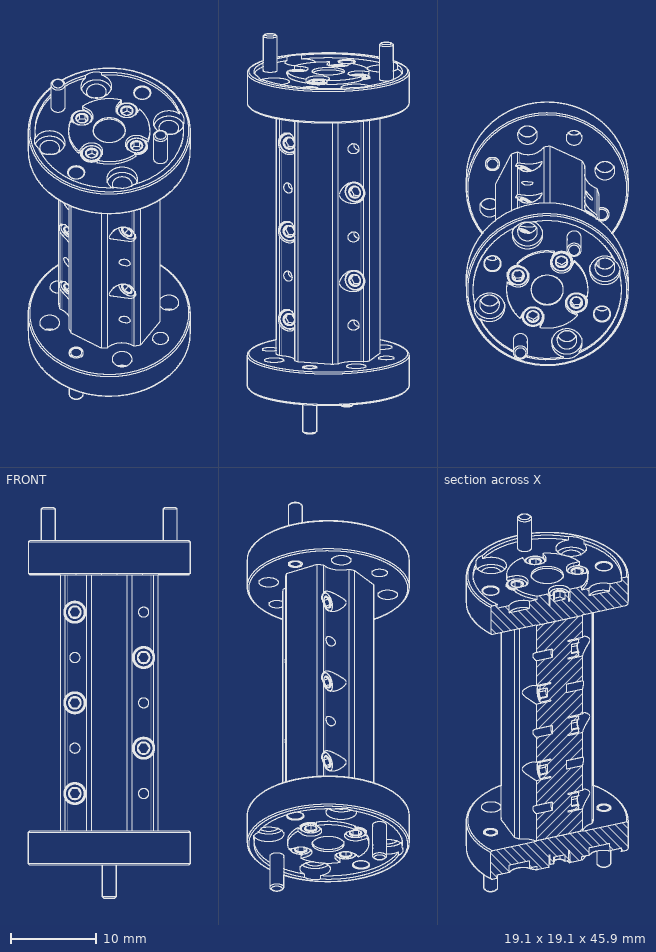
import cadquery as cq
import math

overall_length = 45.85
face_distance = 38.1
flange_diameter = 19.05
flange_thickness = 4.05
flange_chamfer = 0.2

recess_radius = 8.7
boss_radius = 4.75
recess_depth = 0.45

bolt_circle_radius = 7.15
bolt_hole_radius = 1.15
bolt_seat_radius = 1.8
bolt_seat_depth = 1.45

pin_radius = 0.83
pin_chamfer = 0.2
pin_clearance_radius = 0.9
pin_clearance_chamfer = 0.1

port_radius = 1.9
port_depth = 0.28

head_radius = 1.2
head_chamfer = 0.1
head_height = 1.38
head_seat_radius = 1.3
socket_flats = 1.2
socket_mouth_radius = 0.75
socket_mouth_depth = 0.1
socket_depth = 0.9
flange_screw_radius = 3.8
flange_head_depth = 0.3

block_half_width = 5.75
block_half_depth = 5.0
flat_half_width = 2.1
bevel_end = 2.65
side_bevel_width = 5.2
front_bevel_depth = 4.6
groove_center = 4.9
side_screw_x = 4.05
side_screw_pitch = 5.3
side_head_y = 2.48
tapped_hole_radius = 0.6
tapped_hole_end_y = 0.9

flange_radius = flange_diameter / 2
pin_projection = (overall_length - face_distance) / 2
pin_length = pin_projection + flange_thickness
block_length = face_distance - 2 * flange_thickness
flange_inner_z = block_length / 2
groove_radius = groove_center - bevel_end
groove_start_x = groove_center - math.sqrt(groove_radius**2 - (groove_center - front_bevel_depth)**2)
groove_mid = groove_center - groove_radius * math.sqrt(0.5)
quarter_turns = [0, 90, 180, 270]
hexagon_turn = 30


def cylinder(radius, bottom, top):
    """Cylinder on the Z axis between two heights."""
    return cq.Workplane("XY").workplane(offset=bottom).circle(radius).extrude(top - bottom)


def countersink(mouth_radius, depth, top):
    """45 degree cone frustum on the Z axis, widest at the top."""
    return (
        cq.Workplane("XY").workplane(offset=top).circle(mouth_radius)
        .workplane(offset=-depth).circle(mouth_radius - depth).loft()
    )


def around(body, radius, angles):
    """Copies of a body moved out from the Z axis and turned around it."""
    moved = body.translate((radius, 0, 0))
    copies = cq.Workplane("XY")
    for angle in angles:
        copies = copies.add(moved.rotate((0, 0, 0), (0, 0, 1), angle))
    return copies.combine()


def screw_head():
    """Cap-screw head with its top at Z = 0 and a hexagon socket."""
    head = cylinder(head_radius, -head_height, 0).faces(">Z").chamfer(head_chamfer)
    socket = cq.Workplane("XY").polygon(6, socket_flats, circumscribed=True).extrude(-socket_depth)
    mouth = countersink(socket_mouth_radius, socket_mouth_depth, 0)
    return head.cut(socket).cut(mouth)


def make_flange():
    flange = cylinder(flange_radius, 0, flange_thickness).edges().chamfer(flange_chamfer)

    floor_z = flange_thickness - recess_depth
    recess = cylinder(recess_radius, floor_z, flange_thickness)
    flange = flange.cut(recess.cut(cylinder(boss_radius, floor_z, flange_thickness)))

    bolt_hole = cylinder(bolt_hole_radius, 0, flange_thickness)
    bolt_seat = cylinder(bolt_seat_radius, flange_thickness - bolt_seat_depth, flange_thickness)
    bolt_angles = [45 + turn for turn in quarter_turns]
    flange = flange.cut(around(bolt_hole.union(bolt_seat), bolt_circle_radius, bolt_angles))

    pin_hole = cylinder(pin_radius, 0, flange_thickness)
    flange = flange.cut(around(pin_hole, bolt_circle_radius, [0, 180]))

    clearance_hole = cylinder(pin_clearance_radius, 0, floor_z)
    mouth = countersink(pin_clearance_radius + pin_clearance_chamfer, pin_clearance_chamfer, floor_z)
    flange = flange.cut(around(clearance_hole.union(mouth), bolt_circle_radius, [90, 270]))

    flange = flange.cut(cylinder(port_radius, 0, flange_thickness))

    head_top_z = flange_thickness - flange_head_depth
    seat = cylinder(head_seat_radius, head_top_z - head_height, flange_thickness)
    seat_opening = (
        cq.Workplane("XY").workplane(offset=floor_z)
        .center(head_seat_radius / 2, 0).rect(head_seat_radius, 2 * head_seat_radius)
        .extrude(recess_depth)
    )
    flange = flange.cut(around(seat.union(seat_opening), flange_screw_radius, quarter_turns))
    head = screw_head().translate((0, 0, head_top_z))
    return flange.union(around(head, flange_screw_radius, quarter_turns))


def make_pin():
    return cylinder(pin_radius, 0, pin_length).edges().chamfer(pin_chamfer)


def make_port_plug():
    return cylinder(port_radius, 0, flange_thickness - port_depth)


def block_quarter():
    """The +X +Y quarter of the block: two flats, two bevels and a round groove."""
    return (
        cq.Workplane("XY").workplane(offset=-block_length / 2)
        .lineTo(block_half_width, 0)
        .lineTo(block_half_width, flat_half_width)
        .lineTo(side_bevel_width, bevel_end)
        .lineTo(groove_center, bevel_end)
        .threePointArc((groove_mid, groove_mid), (groove_start_x, front_bevel_depth))
        .lineTo(flat_half_width, block_half_depth)
        .lineTo(0, block_half_depth)
        .close()
        .extrude(block_length)
    )


def make_block():
    half = block_quarter().union(block_quarter().mirror("YZ"))
    block = half.union(half.mirror("XZ")).clean()

    seat = cylinder(head_seat_radius, -head_height, block_half_depth)
    tapped_hole = cylinder(tapped_hole_radius, tapped_hole_end_y, block_half_depth)
    head = screw_head().rotate((0, 0, 0), (0, 0, 1), hexagon_turn)
    for column in (-1, 1):
        for row in range(-2, 3):
            from_front = (row % 2 == 0) == (column < 0)
            turn = 90 if from_front else -90
            head_side = -1 if from_front else 1
            place = (column * side_screw_x, head_side * side_head_y, row * side_screw_pitch)
            hole_place = (column * side_screw_x, 0, row * side_screw_pitch)
            block = block.cut(seat.rotate((0, 0, 0), (1, 0, 0), turn).translate(place))
            block = block.cut(tapped_hole.rotate((0, 0, 0), (1, 0, 0), -turn).translate(hole_place))
            block = block.union(head.rotate((0, 0, 0), (1, 0, 0), turn).translate(place))
    return block


def to_top(body):
    return body.translate((0, 0, flange_inner_z))


def to_bottom(body):
    """Turned upside down, with the pins brought onto the Y axis."""
    return to_top(body).rotate((0, 0, 0), (1, 0, 0), 180).rotate((0, 0, 0), (0, 0, 1), 90)


bodies = [make_block().solids().val()]
for place_at_end in (to_top, to_bottom):
    bodies.append(place_at_end(make_flange()).solids().val())
    bodies.append(place_at_end(make_port_plug()).solids().val())
    for side in (-1, 1):
        pin = make_pin().translate((side * bolt_circle_radius, 0, 0))
        bodies.append(place_at_end(pin).solids().val())

result = cq.Compound.makeCompound(bodies)